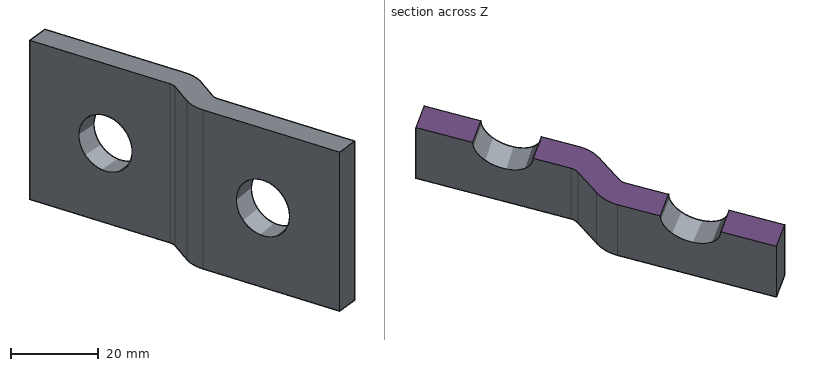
import cadquery as cq
import math

length = 88.1
height = 41.2
thickness = 6.3
offset = 6.3
inner_radius = 3.2
bend_angle = math.radians(35)
bend_start = 38.0
hole_diameter = 14.4
left_hole_x = 20.5
hole_spacing = 46.8

outer_radius = inner_radius + thickness
sin_bend = math.sin(bend_angle)
cos_bend = math.cos(bend_angle)
bend_rise = (inner_radius + outer_radius) * (1 - cos_bend)
web_run = (offset - bend_rise) / math.tan(bend_angle)
bend_end = bend_start + (inner_radius + outer_radius) * sin_bend + web_run

back_y = offset + thickness
left_center_y = offset - inner_radius
right_center_y = thickness + inner_radius


def left_arc(radius, angle):
    """Point on the left bend, at an angle turned from the left flat end."""
    return (bend_start + radius * math.sin(angle), left_center_y + radius * math.cos(angle))


def right_arc(radius, angle):
    """Point on the right bend, at an angle turned from the right flat end."""
    return (bend_end - radius * math.sin(angle), right_center_y - radius * math.cos(angle))


def bent_plate():
    half_bend = bend_angle / 2
    return (
        cq.Workplane("XY")
        .moveTo(0, offset)
        .lineTo(bend_start, offset)
        .threePointArc(left_arc(inner_radius, half_bend), left_arc(inner_radius, bend_angle))
        .lineTo(*right_arc(outer_radius, bend_angle))
        .threePointArc(right_arc(outer_radius, half_bend), right_arc(outer_radius, 0))
        .lineTo(length, 0)
        .lineTo(length, thickness)
        .lineTo(bend_end, thickness)
        .threePointArc(right_arc(inner_radius, half_bend), right_arc(inner_radius, bend_angle))
        .lineTo(*left_arc(outer_radius, bend_angle))
        .threePointArc(left_arc(outer_radius, half_bend), left_arc(outer_radius, 0))
        .lineTo(0, back_y)
        .close()
        .extrude(height)
    )


def hole_cutters():
    """Cylinders along Y that pass through the whole depth of the part."""
    return (
        cq.Workplane("XZ", origin=(0, back_y, 0))
        .pushPoints([(left_hole_x, height / 2), (left_hole_x + hole_spacing, height / 2)])
        .circle(hole_diameter / 2)
        .extrude(back_y)
    )


result = bent_plate().cut(hole_cutters())